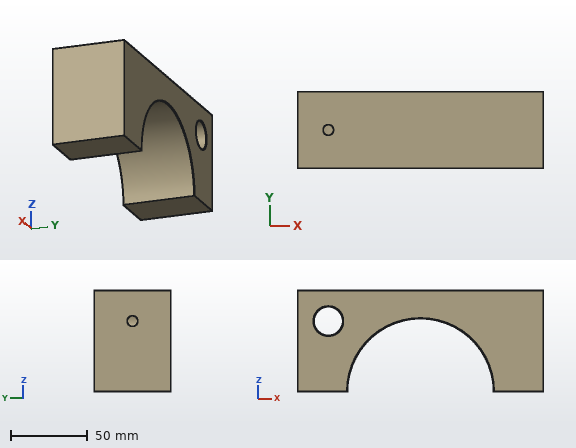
import cadquery as cq

length = 160.0
depth = 50.0
height = 66.0

arch_radius = 47.5

bore_diameter = 18.7
bore_inset = 20.0
bore_x = -length / 2 + bore_inset
bore_z = height - bore_inset

small_hole_diameter = 6.9

edge_chamfer = 0.5


def cylinder_along_y(radius, x, z):
    """Through cutter along Y that flares at both ends to leave chamfered rims."""
    cutter = cq.Workplane("XZ", origin=(x, depth / 2, z)).circle(radius).extrude(depth)
    rim_radius = radius + edge_chamfer
    for side in (-1, 1):
        flare = cq.Solid.makeCone(
            rim_radius,
            radius,
            edge_chamfer,
            pnt=cq.Vector(x, side * depth / 2, z),
            dir=cq.Vector(0, -side, 0),
        )
        cutter = cutter.union(cq.Workplane(flare))
    return cutter


def small_hole(face_point, direction):
    """Drill from a face as far as the axis of the cross bore."""
    return cq.Workplane(
        cq.Solid.makeCylinder(
            small_hole_diameter / 2,
            bore_inset,
            pnt=cq.Vector(*face_point),
            dir=cq.Vector(*direction),
        )
    )


block = cq.Workplane("XY").box(length, depth, height, centered=(True, True, False))
arch = cylinder_along_y(arch_radius, 0, 0)
cross_bore = cylinder_along_y(bore_diameter / 2, bore_x, bore_z)
top_hole = small_hole((bore_x, 0, height), (0, 0, -1))
left_hole = small_hole((-length / 2, 0, bore_z), (1, 0, 0))

result = block.cut(arch).cut(cross_bore).cut(top_hole).cut(left_hole)